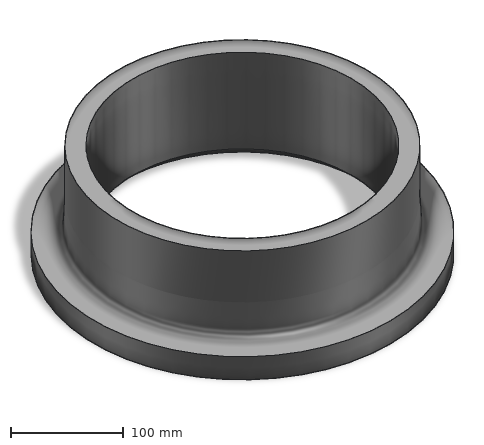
import cadquery as cq
import math

flange_radius = 187.5
flange_thickness = 25.5
total_height = 120.0

tube_radius = 157.5
taper_bottom_radius = 159.0
taper_top_height = 63.0
root_fillet_radius = 9.8

bore_radius = 138.8
bore_chamfer = 13.5

fillet_top_height = flange_thickness + root_fillet_radius
fillet_bottom_radius = taper_bottom_radius + root_fillet_radius
fillet_middle = (
    fillet_bottom_radius - root_fillet_radius * math.cos(math.pi / 4),
    fillet_top_height - root_fillet_radius * math.sin(math.pi / 4),
)

half_section = (
    cq.Workplane("XZ")
    .moveTo(bore_radius + bore_chamfer, 0)
    .lineTo(flange_radius, 0)
    .lineTo(flange_radius, flange_thickness)
    .lineTo(fillet_bottom_radius, flange_thickness)
    .threePointArc(fillet_middle, (taper_bottom_radius, fillet_top_height))
    .lineTo(tube_radius, taper_top_height)
    .lineTo(tube_radius, total_height)
    .lineTo(bore_radius, total_height)
    .lineTo(bore_radius, bore_chamfer)
    .close()
)

result = half_section.revolve(360, (0, 0), (0, 1))